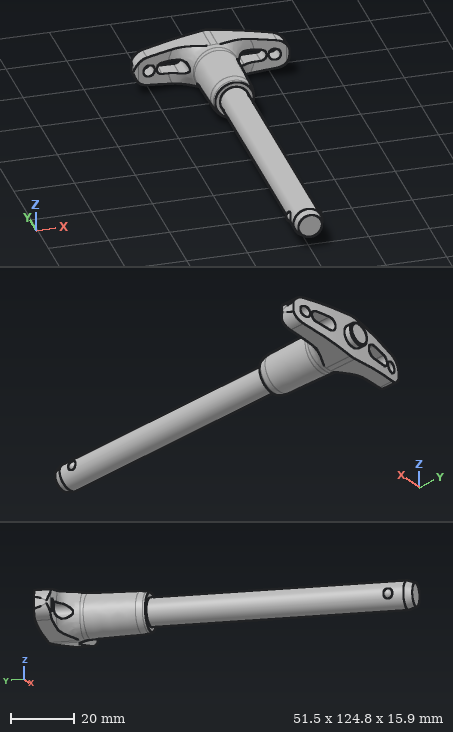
import cadquery as cq
import math


total_length = 124.84
handle_span = 51.45
handle_thickness = 15.875

button_top = 36.6
button_radius = 4.0
button_edge = 0.4

shank_radius = 9.525 / 2
tip_y = button_top - total_length
tip_length = 2.7
tip_radius = 3.9

ball_radius = 1.75
ball_reach = 5.63
ball_height = 7.85
ball_y = tip_y + ball_height

sleeve_end_radius = 6.35
sleeve_edge_radius = 6.7
sleeve_edge_y = 0.8
sleeve_lip_radius = 7.03
sleeve_lip_y = 3.0
sleeve_neck_radius = 7.45
sleeve_neck_y = 20.25
neck_flare = math.radians(4.5)

crown_y = 33.85
crown_arc_radius = 112.0
underside_y = 27.7
underside_arc_radius = 150.0
end_lean = 0.4
end_lean_bottom_y = 26.7
end_edge_radius = 1.3
neck_fillet = 6.2
hub_radius = handle_thickness / 2
tip_round_x = 20.7
tip_round_radius = handle_span / 2 - tip_round_x
uncut_half_depth = 18.0
joint_overlap = 1.0

hole_radius = 1.95
slot_outer_x = 16.1
slot_outer_radius = 2.0
slot_inner_x = 10.5
slot_inner_radius = 2.45


def arc_y(top_y, radius, x):
    """Height at x of an arc that has its highest point at (0, top_y)."""
    return top_y - radius + math.sqrt(radius**2 - x**2)


def hull_tangent(x1, r1, x2, r2):
    """Upper tangent points of two circles centred at x1 and x2 on the X axis."""
    sine = (r1 - r2) / (x2 - x1)
    cosine = math.sqrt(1 - sine**2)
    return (x1 + r1 * sine, r1 * cosine), (x2 + r2 * sine, r2 * cosine)


def mirrored_z(point):
    return (point[0], -point[1])


def mirrored_x(point):
    return (-point[0], point[1])


def extruded_along_y(outline):
    """Solid from an XZ outline, long enough to pass through the whole handle."""
    return outline.extrude(-button_top)


def make_sleeve():
    neck_top_y = underside_y + joint_overlap
    neck_top_radius = sleeve_neck_radius + (neck_top_y - sleeve_neck_y) * math.tan(neck_flare)
    return (
        cq.Workplane("XY")
        .moveTo(0, 0)
        .lineTo(sleeve_end_radius, 0)
        .lineTo(sleeve_edge_radius, sleeve_edge_y)
        .lineTo(sleeve_lip_radius, sleeve_lip_y)
        .lineTo(sleeve_neck_radius, sleeve_neck_y)
        .lineTo(neck_top_radius, neck_top_y)
        .lineTo(0, neck_top_y)
        .close()
        .revolve(360, (0, 0, 0), (0, 1, 0))
    )


def make_bar():
    """Curved bar seen along Z: domed crown, leaning ends and a bowed underside."""
    end_x = handle_span / 2
    top_x = end_x - end_lean
    crown_corner = (top_x, arc_y(crown_y, crown_arc_radius, top_x))
    lean_bottom = (end_x, end_lean_bottom_y)
    under_x = end_x - end_edge_radius
    under_corner = (under_x, arc_y(underside_y, underside_arc_radius, under_x))
    edge_middle = (
        end_x - end_edge_radius * (1 - math.sqrt(0.5)),
        lean_bottom[1] + (under_corner[1] - lean_bottom[1]) * math.sqrt(0.5),
    )
    return (
        cq.Workplane("XY")
        .moveTo(*mirrored_x(crown_corner))
        .threePointArc((0, crown_y), crown_corner)
        .lineTo(*lean_bottom)
        .threePointArc(edge_middle, under_corner)
        .threePointArc((0, underside_y), mirrored_x(under_corner))
        .threePointArc(mirrored_x(edge_middle), mirrored_x(lean_bottom))
        .close()
        .extrude(uncut_half_depth, both=True)
    )


def make_handle_outline():
    """Handle seen along Y: a hub circle tapering to a round at each end."""
    hub, tip = hull_tangent(0, hub_radius, tip_round_x, tip_round_radius)
    end_x = handle_span / 2
    return extruded_along_y(
        cq.Workplane("XZ")
        .moveTo(*mirrored_x(hub))
        .threePointArc((0, hub_radius), hub)
        .lineTo(*tip)
        .threePointArc((end_x, 0), mirrored_z(tip))
        .lineTo(*mirrored_z(hub))
        .threePointArc((0, -hub_radius), mirrored_z(mirrored_x(hub)))
        .lineTo(*mirrored_z(mirrored_x(tip)))
        .threePointArc((-end_x, 0), mirrored_x(tip))
        .close()
    )


def make_slot():
    """Tapered slot through the +X arm, with its wide end toward the sleeve."""
    inner, outer = hull_tangent(slot_inner_x, slot_inner_radius, slot_outer_x, slot_outer_radius)
    return extruded_along_y(
        cq.Workplane("XZ")
        .moveTo(*inner)
        .lineTo(*outer)
        .threePointArc((slot_outer_x + slot_outer_radius, 0), mirrored_z(outer))
        .lineTo(*mirrored_z(inner))
        .threePointArc((slot_inner_x - slot_inner_radius, 0), inner)
        .close()
    )


def make_handle():
    """Bar and sleeve blended by the neck fillet, then trimmed and pierced."""
    handle = make_bar().union(make_sleeve())
    reach = neck_fillet + sleeve_neck_radius
    neck_edge = cq.selectors.BoxSelector(
        (-reach, underside_y - joint_overlap, -reach),
        (reach, underside_y + joint_overlap, reach),
        boundingbox=True,
    )
    handle = handle.edges(neck_edge).fillet(neck_fillet)
    handle = handle.intersect(make_handle_outline())
    slot = make_slot()
    holes = extruded_along_y(
        cq.Workplane("XZ").pushPoints([(-tip_round_x, 0), (tip_round_x, 0)]).circle(hole_radius)
    )
    return handle.cut(slot).cut(slot.mirror("YZ")).cut(holes)


def make_shank():
    return (
        cq.Workplane("XY")
        .moveTo(0, tip_y)
        .lineTo(tip_radius, tip_y)
        .lineTo(shank_radius, tip_y + tip_length)
        .lineTo(shank_radius, sleeve_lip_y)
        .lineTo(0, sleeve_lip_y)
        .close()
        .revolve(360, (0, 0, 0), (0, 1, 0))
    )


def make_button():
    return (
        cq.Workplane("XZ", origin=(0, underside_y, 0))
        .circle(button_radius)
        .extrude(underside_y - button_top)
        .faces(">Y")
        .edges()
        .chamfer(button_edge)
    )


def make_balls():
    ball_x = ball_reach - ball_radius
    return cq.Workplane("XY").pushPoints([(-ball_x, ball_y), (ball_x, ball_y)]).sphere(ball_radius)


result = make_handle().union(make_shank()).union(make_button()).union(make_balls())